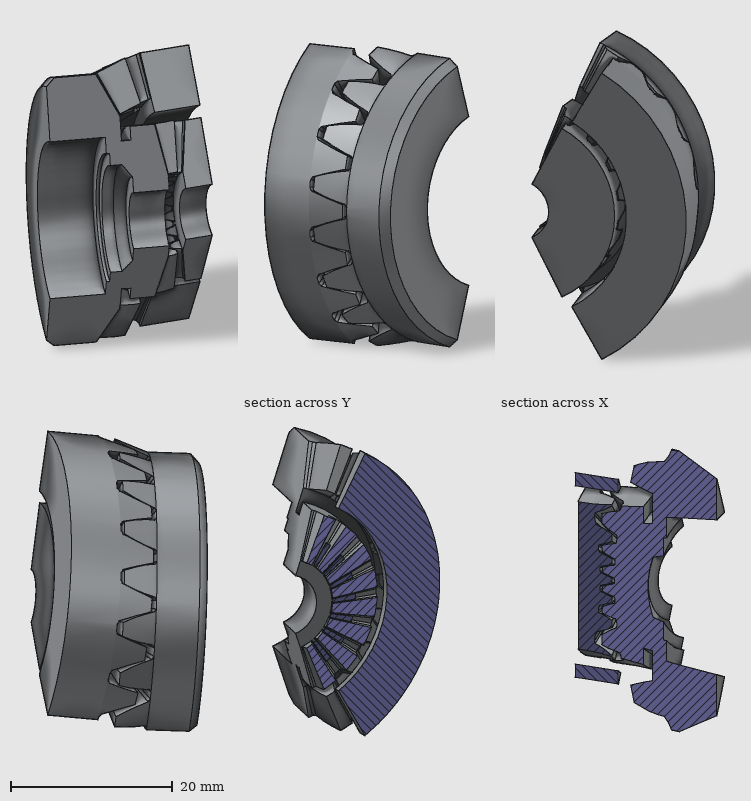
import cadquery as cq
import math

tilt = 10.0

gear_radius = 19.1
gear_bottom = -15.85
gear_chamfer = 1.0
hub_radius = 12.3
groove_radius = 10.55
groove_top = -5.65
bore_radius = 4.0
recess_ceiling = -5.7
cone_base_radius = 7.6
cone_top_radius = 5.95
cone_height = 1.25
seat_radius = 9.1
seat_depth = 8.42
step_depth = 8.85
socket_radius = 11.17

ring_outer_radius = 21.45
ring_inner_radius = 13.85
ring_top = 5.3

output_radius = 12.25
output_bore_radius = 3.87
output_top = 4.9

outer_teeth = 20
ring_teeth = 21
inner_teeth = 20
gear_teeth_kept = 8
ring_teeth_kept = 7
output_teeth_kept = 7
gear_sector = gear_teeth_kept * 360 / outer_teeth
ring_sector = ring_teeth_kept * 360 / ring_teeth
output_sector = output_teeth_kept * 360 / inner_teeth

outer_root = 26.4
outer_tip = 14.3
outer_pitch = 20.6
outer_toe_radius = 13.75
ring_root = 3.1
ring_tip = 15.0
ring_pitch = 10.6
ring_toe_radius = 15.65
hub_root = 11.5
hub_tip = -1.0
hub_pitch = 5.0
output_root = -12.8
output_tip = -0.3
output_pitch = -5.0
inner_toe_radius = 5.98

tip_half_angle = 2.4
root_half_angle = 6.2
foot_half_angle = 7.4
foot_height_angle = 0.7
outer_bulge = 0.3
ring_bulge = -0.1
inner_bulge = 0.3

embed_angle = 4.0
embed_depth = 0.75
blank_near = 0.7
blank_far = 1.3
band_height = 9.4
band_angle = 30.0


def cone_height_at(radius, slope):
    """Axial position of a cone through the pivot at a given radius."""
    return -radius * math.tan(math.radians(slope))


def sector(profile, angle):
    """Revolve an (r, z) profile about z, with its middle on the x axis."""
    return profile.revolve(angle, (0, 0), (0, 1)).rotate((0, 0, 0), (0, 0, 1), -angle / 2)


def ray_on_plane(azimuth, slope, pitch):
    """Where a ray from the pivot crosses the plane that squarely cuts the pitch line at unit distance."""
    a, s, p = (math.radians(v) for v in (azimuth, slope, pitch))
    forward = math.cos(s) * math.cos(a) * math.cos(p) + math.sin(s) * math.sin(p)
    across = math.cos(s) * math.sin(a)
    upward = math.cos(s) * math.cos(a) * math.sin(p) - math.sin(s) * math.cos(p)
    return across / forward, upward / forward


def tooth_section(plane, distance, root, tip, pitch, bulge):
    """Tooth outline on a plane across the pitch line: straight foot, bulged flanks, flat tip."""
    down = math.copysign(1, root - tip)
    flank_end = root - down * foot_height_angle
    middle = (flank_end + tip) / 2
    middle_half_angle = (root_half_angle + tip_half_angle) / 2 + bulge

    def at(azimuth, slope):
        u, v = ray_on_plane(azimuth, slope, pitch)
        return u * distance, v * distance

    return (
        cq.Workplane(plane)
        .moveTo(*at(-foot_half_angle, root + down * embed_angle))
        .lineTo(*at(-foot_half_angle, root))
        .lineTo(*at(-root_half_angle, flank_end))
        .threePointArc(at(-middle_half_angle, middle), at(-tip_half_angle, tip))
        .lineTo(*at(tip_half_angle, tip))
        .threePointArc(at(middle_half_angle, middle), at(root_half_angle, flank_end))
        .lineTo(*at(foot_half_angle, root))
        .lineTo(*at(foot_half_angle, root + down * embed_angle))
        .close()
        .wire()
        .val()
    )


def tooth(root, tip, pitch, heel_radius, toe_radius, bulge):
    """One tooth at azimuth 0, tapering to the pivot, with its ends square to the pitch line."""
    p = math.radians(pitch)
    along = cq.Vector(math.cos(p), 0, -math.sin(p))
    sections = []
    for distance in (blank_near * toe_radius, blank_far * heel_radius):
        plane = cq.Plane(along * distance, (0, 1, 0), along)
        sections.append(tooth_section(plane, distance, root, tip, pitch, bulge))
    blank = cq.Workplane(obj=cq.Solid.makeLoft(sections, True))

    down = math.copysign(1, root - tip)
    heel_z = cone_height_at(heel_radius, root)
    toe_z = cone_height_at(toe_radius, root)
    rise = down * band_height
    lean = rise * math.tan(p)
    band = (
        cq.Workplane("XZ")
        .moveTo(heel_radius, heel_z - down * embed_depth)
        .lineTo(heel_radius, heel_z)
        .lineTo(heel_radius + lean, heel_z + rise)
        .lineTo(toe_radius + lean, toe_z + rise)
        .lineTo(toe_radius, toe_z)
        .lineTo(toe_radius, toe_z - down * embed_depth)
        .close()
    )
    return blank.intersect(sector(band, band_angle))


def add_teeth(body, one_tooth, count_in_turn, count):
    """Join a centred run of equally spaced teeth to a body."""
    pitch_angle = 360 / count_in_turn
    for i in range(count):
        azimuth = (i - (count - 1) / 2) * pitch_angle
        body = body.union(one_tooth.rotate((0, 0, 0), (0, 0, 1), azimuth))
    return body


def placed(body, axis_tilt):
    """Turn a body's own frame so that its axis leans from +Y toward +X and its sector faces -X."""
    t = math.radians(axis_tilt)
    frame = cq.Plane((0, 0, 0), (-math.cos(t), math.sin(t), 0), (math.sin(t), math.cos(t), 0))
    return body.val().moved(cq.Location(frame))


def make_nutating_gear():
    groove_floor = cone_height_at(outer_toe_radius, outer_root)
    hub_flat = cone_height_at(inner_toe_radius, hub_root)
    profile = (
        cq.Workplane("XZ")
        .moveTo(socket_radius, gear_bottom)
        .lineTo(gear_radius - gear_chamfer, gear_bottom)
        .lineTo(gear_radius, gear_bottom + gear_chamfer)
        .lineTo(gear_radius, cone_height_at(gear_radius, outer_root))
        .lineTo(outer_toe_radius, groove_floor)
        .lineTo(groove_radius, groove_floor)
        .lineTo(groove_radius, groove_top)
        .lineTo(hub_radius, groove_top)
        .lineTo(hub_radius, cone_height_at(hub_radius, hub_root))
        .lineTo(inner_toe_radius, hub_flat)
        .lineTo(bore_radius, hub_flat)
        .lineTo(bore_radius, recess_ceiling)
        .lineTo(cone_top_radius, recess_ceiling)
        .lineTo(cone_base_radius, recess_ceiling - cone_height)
        .lineTo(cone_base_radius, -seat_depth)
        .lineTo(seat_radius, -seat_depth)
        .lineTo(seat_radius, -step_depth)
        .lineTo(socket_radius, -step_depth)
        .close()
    )
    gear = sector(profile, gear_sector)
    outer_tooth = tooth(outer_root, outer_tip, outer_pitch, gear_radius, outer_toe_radius, outer_bulge)
    gear = add_teeth(gear, outer_tooth, outer_teeth, gear_teeth_kept)
    hub_tooth = tooth(hub_root, hub_tip, hub_pitch, hub_radius, inner_toe_radius, inner_bulge)
    return add_teeth(gear, hub_tooth, inner_teeth, gear_teeth_kept)


def make_fixed_ring():
    profile = (
        cq.Workplane("XZ")
        .moveTo(ring_inner_radius, ring_top)
        .lineTo(ring_outer_radius, ring_top)
        .lineTo(ring_outer_radius, cone_height_at(ring_outer_radius, ring_root))
        .lineTo(ring_inner_radius, cone_height_at(ring_inner_radius, ring_root))
        .close()
    )
    one_tooth = tooth(ring_root, ring_tip, ring_pitch, ring_outer_radius, ring_toe_radius, ring_bulge)
    return add_teeth(sector(profile, ring_sector), one_tooth, ring_teeth, ring_teeth_kept)


def make_output_ring():
    flat = cone_height_at(inner_toe_radius, output_root)
    profile = (
        cq.Workplane("XZ")
        .moveTo(output_bore_radius, output_top)
        .lineTo(output_radius, output_top)
        .lineTo(output_radius, cone_height_at(output_radius, output_root))
        .lineTo(inner_toe_radius, flat)
        .lineTo(output_bore_radius, flat)
        .close()
    )
    one_tooth = tooth(output_root, output_tip, output_pitch, output_radius, inner_toe_radius, inner_bulge)
    return add_teeth(sector(profile, output_sector), one_tooth, inner_teeth, output_teeth_kept)


nutating_gear = placed(make_nutating_gear(), tilt)
fixed_ring = placed(make_fixed_ring(), 0)
output_ring = placed(make_output_ring(), 0)

result = cq.Compound.makeCompound([*nutating_gear.Solids(), *fixed_ring.Solids(), *output_ring.Solids()])